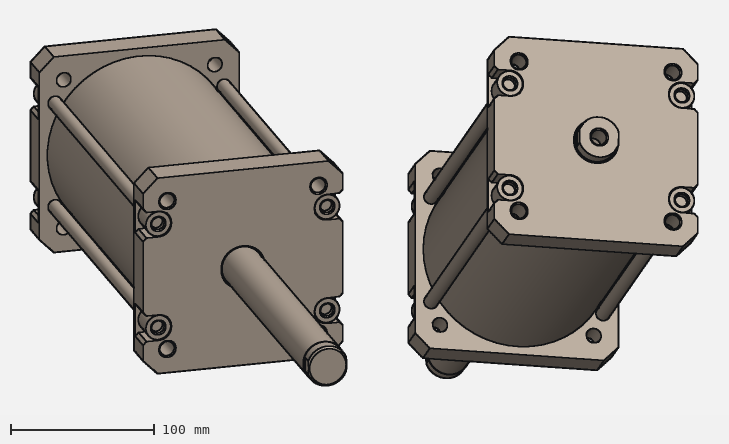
import cadquery as cq
import math

total_length = 498.0
tail_length = 10.0
plate_thickness = 22.5
barrel_length = 233.5

plate_size = 145.0
corner_chamfer = 10.5
corner_hole_offset = 55.0
corner_hole_radius = 10.5 / 2
hole_chamfer = 1.0

tie_y = 61.5
tie_z = 38.5
tie_radius = 5.0
head_radius = 9.0
slot_depth = 19.5
slot_half_width = 9.5
slot_flare = 2.5
head_recess = 0.5
socket_radius = 4.5
socket_chamfer = 1.0
socket_depth = 5.0

barrel_radius = 66.5

rod_radius = 30.0 / 2
rod_end_radius = 29.5 / 2
rod_end_length = 10.5
rod_end_chamfer = 1.5
flat_length = 8.5
flat_height = 10.0
tap_radius = 5.5
tap_depth = 20.0
tap_chamfer = 1.0
tap_tip_angle = 118.0

barrel_start = tail_length + plate_thickness
plates_end = barrel_start + barrel_length + plate_thickness


def rod_along_x(radius, start, length, y=0.0, z=0.0):
    """A cylinder along +X from x = start."""
    return cq.Workplane("YZ", origin=(start, y, z)).circle(radius).extrude(length)


def side_slot(start, side_y, z):
    """Cutter for one round-ended slot that opens, with flared edges, through a side of a plate."""
    edge_y = plate_size / 2
    mouth_half_width = slot_half_width + slot_flare
    slot = (
        cq.Workplane("YZ", origin=(start, 0, z))
        .moveTo(tie_y, slot_half_width)
        .lineTo(edge_y - slot_flare, slot_half_width)
        .lineTo(edge_y, mouth_half_width)
        .lineTo(edge_y, -mouth_half_width)
        .lineTo(edge_y - slot_flare, -slot_half_width)
        .lineTo(tie_y, -slot_half_width)
        .threePointArc((tie_y - slot_half_width, 0), (tie_y, slot_half_width))
        .close()
        .extrude(slot_depth)
    )
    return slot if side_y > 0 else slot.mirror("XZ")


def tie_positions():
    """(Y, Z) of the four tie rods."""
    return [(y, z) for y in (-tie_y, tie_y) for z in (-tie_z, tie_z)]


def chamfered_hole(radius, depth, chamfer, face_x, inward, y=0.0, z=0.0):
    """Cutter for a hole running from a face at face_x along X (inward is +1 or -1), mouth chamfered."""
    direction = cq.Vector(inward, 0, 0)
    mouth = cq.Vector(face_x, y, z)
    hole = cq.Solid.makeCylinder(radius, depth, mouth, direction)
    cone = cq.Solid.makeCone(radius + chamfer, radius, chamfer, mouth, direction)
    return hole.fuse(cone)


def make_end_plate(outer_x, inward):
    """A square plate with chamfered corners, rod bore, corner holes and tie rod slots."""
    start = min(outer_x, outer_x + inward * plate_thickness)
    slot_start = min(outer_x, outer_x + inward * slot_depth)
    plate = (
        cq.Workplane("YZ", origin=(start, 0, 0))
        .rect(plate_size, plate_size)
        .extrude(plate_thickness)
        .edges("|X")
        .chamfer(corner_chamfer)
    )
    plate = plate.cut(chamfered_hole(rod_radius, plate_thickness, hole_chamfer, outer_x, inward))
    for y in (-corner_hole_offset, corner_hole_offset):
        for z in (-corner_hole_offset, corner_hole_offset):
            plate = plate.cut(
                chamfered_hole(corner_hole_radius, plate_thickness, hole_chamfer, outer_x, inward, y, z)
            )
    for y, z in tie_positions():
        plate = plate.cut(side_slot(slot_start, y, z))
        plate = plate.cut(rod_along_x(tie_radius, start, plate_thickness, y, z))
    return plate


def make_barrel():
    """A round body between the plates, bored for the piston rod."""
    barrel = rod_along_x(barrel_radius, barrel_start, barrel_length)
    return barrel.cut(rod_along_x(rod_radius, barrel_start, barrel_length))


def make_tie_rod(y, z):
    """A tie rod with a round socketed head at each end."""
    length = plates_end - tail_length
    tie_rod = rod_along_x(tie_radius, tail_length + slot_depth, length - 2 * slot_depth, y, z)
    head_length = slot_depth - head_recess
    first_end = tail_length + head_recess
    last_end = plates_end - head_recess
    tie_rod = tie_rod.union(rod_along_x(head_radius, first_end, head_length, y, z))
    tie_rod = tie_rod.union(rod_along_x(head_radius, last_end - head_length, head_length, y, z))
    for end_x, inward in ((first_end, 1), (last_end, -1)):
        tie_rod = tie_rod.cut(
            chamfered_hole(socket_radius, socket_depth, socket_chamfer, end_x, inward, y, z)
        )
    return tie_rod


def flats_cutter(start):
    """Cutter that leaves a pair of wrench flats facing -Y and +Y."""
    half_across = math.sqrt(rod_end_radius**2 - (flat_height / 2) ** 2)
    block_size = 4 * rod_radius
    section = cq.Workplane("YZ", origin=(start, 0, 0))
    block = section.rect(block_size, block_size).extrude(flat_length)
    kept_core = section.rect(2 * half_across, block_size).extrude(flat_length)
    return block.cut(kept_core)


def make_piston_rod():
    """The through rod: reduced ends with wrench flats, and a tapped hole in the tail end."""
    rod = rod_along_x(rod_radius, rod_end_length, total_length - 2 * rod_end_length)
    tail = rod_along_x(rod_end_radius, 0, rod_end_length)
    nose = rod_along_x(rod_end_radius, total_length - rod_end_length, rod_end_length)
    rod = rod.union(tail).union(nose.faces(">X").chamfer(rod_end_chamfer))
    for start in (0, total_length - flat_length):
        rod = rod.cut(flats_cutter(start))
    tip_depth = tap_radius / math.tan(math.radians(tap_tip_angle / 2))
    tap = (
        cq.Workplane("XY")
        .polyline([
            (0, 0),
            (0, tap_radius + tap_chamfer),
            (tap_chamfer, tap_radius),
            (tap_depth, tap_radius),
            (tap_depth + tip_depth, 0),
        ])
        .close()
        .revolve(360, (0, 0, 0), (1, 0, 0))
    )
    return rod.cut(tap)


tail_plate = make_end_plate(tail_length, 1)
nose_plate = make_end_plate(plates_end, -1)
barrel = make_barrel()
piston_rod = make_piston_rod()
tie_rods = [make_tie_rod(y, z) for y, z in tie_positions()]

result = cq.Compound.makeCompound([
    tail_plate.val(),
    nose_plate.val(),
    barrel.val(),
    piston_rod.val(),
    *[tie_rod.val() for tie_rod in tie_rods],
])